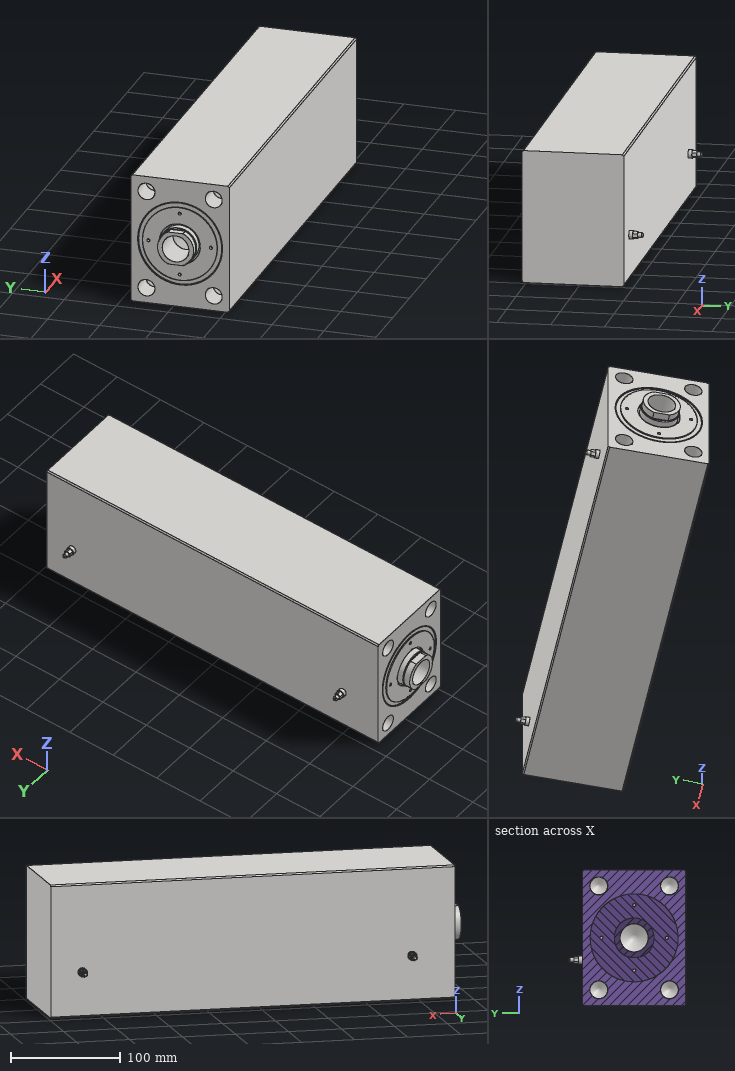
import cadquery as cq
import math

overall_length = 395.0
overall_width = 107.5

housing_length = 381.5
housing_width = 94.8
housing_height = 125.0
edge_chamfer = 1.4

mount_hole_diameter = 16.0
mount_hole_depth = 23.7
mount_spacing_y = 64.8
mount_spacing_z = 95.0
drill_point_angle = 118.0

gland_diameter = 80.0
gland_depth = 39.5
bore_chamfer = 0.8
boss_diameter = 72.0
boss_height = 1.0
spanner_hole_diameter = 2.8
spanner_hole_depth = 4.0
spanner_circle_radius = 30.0
spanner_hole_count = 4
wiper_recess_diameter = 39.5
wiper_recess_depth = 2.0

rod_projection = overall_length - housing_length
rod_diameter = 36.0
rod_chamfer = 0.8
nose_diameter = 34.8
nose_length = 6.7
flat_spacing = 31.5
rod_hole_diameter = 25.5
rod_hole_depth = 31.5

nipple_height = overall_width - housing_width
nipple_base_diameter = 8.0
nipple_base_top = 3.5
nipple_hex_width = 6.0
nipple_hex_top = 8.0
nipple_tip_diameter = 4.5
nipple_end_diameter = 2.8
nipple_taper_height = 1.0
nipple_front_offset = 40.5
nipple_rear_offset = 29.5
nipple_z = -20.0


def cylinder_along_x(start, length, diameter):
    return cq.Workplane("YZ", origin=(start, 0, 0)).circle(diameter / 2).extrude(length)


def drilled_hole(start, depth, diameter):
    """Blind hole along +X on the axis, with a conical bottom."""
    radius = diameter / 2
    point_length = radius / math.tan(math.radians(drill_point_angle / 2))
    profile = [(0, 0), (0, radius), (depth, radius), (depth + point_length, 0)]
    hole = cq.Workplane("XY").polyline(profile).close().revolve(360, (0, 0, 0), (1, 0, 0))
    return hole.translate((start, 0, 0))


def make_housing():
    """Chamfered block with the gland bore and four blind mounting holes in its front face."""
    block = cq.Workplane("XY").box(housing_length, housing_width, housing_height, centered=(False, True, True))
    block = block.edges("|X").chamfer(edge_chamfer)
    bore = cylinder_along_x(0, gland_depth, gland_diameter)
    block = block.cut(bore)
    block = block.faces("<X").edges("%CIRCLE").chamfer(bore_chamfer)
    hole = drilled_hole(0, mount_hole_depth, mount_hole_diameter)
    for side_y in (-1, 1):
        for side_z in (-1, 1):
            block = block.cut(hole.translate((0, side_y * mount_spacing_y / 2, side_z * mount_spacing_z / 2)))
    return block


def make_gland():
    """Plug filling the bore, with a rod passage, wiper recess and spanner holes."""
    gland = cylinder_along_x(0, gland_depth, gland_diameter)
    gland = gland.union(cylinder_along_x(-boss_height, boss_height, boss_diameter))
    gland = gland.cut(cylinder_along_x(-boss_height, boss_height + gland_depth, rod_diameter))
    gland = gland.cut(cylinder_along_x(-boss_height, wiper_recess_depth, wiper_recess_diameter))
    spanner_holes = (
        cq.Workplane("YZ", origin=(-boss_height, 0, 0))
        .polarArray(spanner_circle_radius, 0, 360, spanner_hole_count)
        .circle(spanner_hole_diameter / 2)
        .extrude(spanner_hole_depth)
    )
    return gland.cut(spanner_holes)


def make_rod():
    """Rod reaching to the bottom of the gland, with a flatted nose in front of it."""
    nose = cylinder_along_x(-rod_projection, nose_length, nose_diameter)
    flats = cq.Workplane("XY").box(2 * rod_projection, 2 * nose_diameter, flat_spacing)
    nose = nose.intersect(flats.translate((-rod_projection, 0, 0)))
    shaft_start = nose_length - rod_projection
    shaft = cylinder_along_x(shaft_start, gland_depth - shaft_start, rod_diameter)
    shaft = shaft.faces("<X").chamfer(rod_chamfer)
    return nose.union(shaft).cut(drilled_hole(-rod_projection, rod_hole_depth, rod_hole_diameter))


def make_nipple(x):
    """Bleed nipple on the +Y face: round base, hexagon with corners along Z, tapered tip."""
    profile = [
        (0, 0),
        (nipple_base_diameter / 2, 0),
        (nipple_base_diameter / 2, nipple_base_top),
        (nipple_tip_diameter / 2, nipple_base_top),
        (nipple_tip_diameter / 2, nipple_height - nipple_taper_height),
        (nipple_end_diameter / 2, nipple_height),
        (0, nipple_height),
    ]
    turned = cq.Workplane("XY").polyline(profile).close().revolve(360, (0, 0, 0), (0, 1, 0))
    hexagon = (
        cq.Workplane("XZ", origin=(0, nipple_hex_top, 0))
        .polygon(6, nipple_hex_width, circumscribed=True)
        .extrude(nipple_hex_top - nipple_base_top)
    )
    return turned.union(hexagon).translate((x, housing_width / 2, nipple_z))


housing = make_housing()
gland = make_gland()
rod = make_rod()
nipples = [make_nipple(x) for x in (nipple_front_offset, housing_length - nipple_rear_offset)]

result = cq.Compound.makeCompound(
    [housing.val(), gland.val(), rod.val(), *[nipple.val() for nipple in nipples]]
)